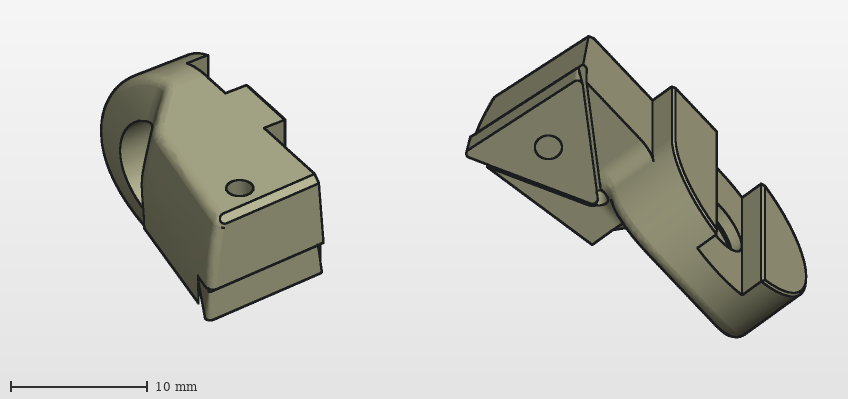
import cadquery as cq
import math


eye_radius = 7.7
eye_front = -4.57
bore_radius = 2.52
bore_chamfer = 0.3
head_pocket_radius = 4.5
head_pocket_depth = 3.35

key_height = 2.0
key_slot_width = 5.13
key_chamfer = 0.2

turning_radius = 18.15
turning_axis_y = eye_front + turning_radius
bend_x = -0.92
ramp_end_x = 3.36
ramp_angle = 40
arm_angle = 10
bend_radius = 1.94
ramp_end_radius = 3.15
rim_radius = 0.9
underside_radius = 1.45

end_x = 15.92
end_plan_angle = 3
end_lean_angle = 7
end_chamfer = 0.5
end_corner_radius = 0.6

insert_thickness = 2.37
insert_drop = 0.2
inscribed_radius = 3.17
nose_radius = 0.39
clearance_angle = 7
pocket_clearance = 0.3
relief_x = 7.3
relief_y = -5.45
relief_radius = 0.7
nose_tip_x = 16.5
nose_tip_y = -10.6
insert_bottom = -insert_drop
insert_top = insert_bottom + insert_thickness

nose_to_centre = 2 * (inscribed_radius - nose_radius)
nose_direction = math.radians(end_plan_angle - 60)
insert_x = nose_tip_x - nose_radius - nose_to_centre * math.cos(nose_direction)
insert_y = nose_tip_y + nose_radius - nose_to_centre * math.sin(nose_direction)

screw_radius = 1.0
screw_offset = 0.15
screw_chamfer = 0.25
screw_end_z = 4.85

reach = 48.4
tolerance = 0.002


def tan_deg(angle):
    return math.tan(math.radians(angle))


def polar(centre, radius, angle):
    a = math.radians(angle)
    return (centre[0] + radius * math.cos(a), centre[1] + radius * math.sin(a))


def box(x_span, y_span, z_span):
    """Box given by its (low, high) limits on each axis."""
    spans = (x_span, y_span, z_span)
    sizes = [high - low for low, high in spans]
    corner = [low for low, high in spans]
    return cq.Workplane("XY").box(*sizes, centered=False).translate(tuple(corner))


def turned(outline):
    """Solid of revolution about the turning axis, from an outline in the XY plane."""
    return outline.close().revolve(360, (0, turning_axis_y, 0), (1, turning_axis_y, 0))


def y_cylinder(radius, y_low, y_high):
    """Cylinder on the eye axis."""
    return cq.Workplane("XZ", origin=(0, y_high, 0)).circle(radius).extrude(y_high - y_low)


def eye_envelope():
    return turned(
        cq.Workplane("XY")
        .moveTo(-reach, turning_axis_y)
        .lineTo(-reach, eye_front)
        .lineTo(reach, eye_front)
        .lineTo(reach, turning_axis_y)
    )


def blend(corner, angle_in, angle_out, radius):
    """Start, middle and end of the arc rounding a corner between two falling lines."""
    x, y = corner
    turn = abs(angle_out - angle_in)
    setback = radius * tan_deg(turn / 2)
    bulge = radius / math.cos(math.radians(turn / 2)) - radius
    side = 1 if angle_in > angle_out else -1
    a_in, a_out = math.radians(angle_in), math.radians(angle_out)
    a_mid = (a_in + a_out) / 2
    start = (x - setback * math.cos(a_in), y + setback * math.sin(a_in))
    end = (x + setback * math.cos(a_out), y - setback * math.sin(a_out))
    middle = (x + side * bulge * math.sin(a_mid), y + side * bulge * math.cos(a_mid))
    return start, middle, end


def arm_envelope():
    bend = (bend_x, eye_front)
    ramp_end = (ramp_end_x, eye_front - (ramp_end_x - bend_x) * tan_deg(ramp_angle))
    tip_x = 2 * eye_radius + end_corner_radius + end_x
    tip_y = ramp_end[1] - (tip_x - ramp_end_x) * tan_deg(arm_angle)
    bend_start, bend_middle, bend_stop = blend(bend, 0, ramp_angle, bend_radius)
    ramp_start, ramp_middle, ramp_stop = blend(ramp_end, ramp_angle, arm_angle, ramp_end_radius)
    return turned(
        cq.Workplane("XY")
        .moveTo(-reach, turning_axis_y)
        .lineTo(-reach, eye_front)
        .lineTo(*bend_start)
        .threePointArc(bend_middle, bend_stop)
        .lineTo(*ramp_start)
        .threePointArc(ramp_middle, ramp_stop)
        .lineTo(tip_x, tip_y)
        .lineTo(tip_x, turning_axis_y)
    )


def cut_end(body):
    """Trim the arm with the leaning plane of its free end."""
    plane = cq.Plane(
        origin=(end_x, 0, 0),
        xDir=(0, 0, 1),
        normal=(1, tan_deg(end_plan_angle), tan_deg(end_lean_angle)),
    )
    return body.cut(cq.Workplane(plane).rect(reach, reach).extrude(reach))


def is_rim(edge):
    """True for an edge where the front surface meets the flat top or the round of the eye."""
    point = edge.positionAt(0.5)
    on_top = abs(point.z - eye_radius) < tolerance
    on_eye = abs(math.hypot(point.x, point.z) - eye_radius) < tolerance
    return edge.geomType() != "LINE" and point.y < -tolerance and (on_top or on_eye)


def is_underside_corner(edge):
    """True for an edge where the underside of the arm meets the eye."""
    limits = edge.BoundingBox()
    in_plane = abs(limits.zmin) < tolerance and abs(limits.zmax) < tolerance
    beside_eye = limits.xmin > head_pocket_radius - 0.25 and limits.xmax < eye_radius + tolerance
    return in_plane and beside_eye and limits.ymax < tolerance and limits.ymin > eye_front - tolerance


def arm_outline(right_x):
    """Quarter round of the eye running into the flat top of the arm."""
    diagonal = eye_radius * math.sqrt(0.5)
    return (
        cq.Workplane("XZ")
        .moveTo(-eye_radius, 0)
        .threePointArc((-diagonal, diagonal), (0, eye_radius))
        .lineTo(right_x, eye_radius)
        .lineTo(right_x, 0)
        .close()
    )


def arm_half():
    """Everything above the eye centre: half of the eye, and the arm with its rounded front rim."""
    body = arm_outline(reach / 2).extrude(reach / 2)
    body = cut_end(body.intersect(arm_envelope()))
    end_top = cq.selectors.BoxSelector((end_x - 2.42, -2.42, eye_radius - 0.25), (end_x, -7.25, eye_radius + 0.25))
    body = body.edges(end_top).chamfer(end_chamfer)
    body = body.edges().filter(is_rim).fillet(rim_radius)
    corner = cq.selectors.BoxSelector((end_x - 1.2, -10.9, 1.2), (end_x + 1.2, -8.47, eye_radius - 1.94))
    return body.edges(corner).fillet(end_corner_radius)


def eye_half():
    """The half of the eye below its centre."""
    body = y_cylinder(eye_radius, -reach / 2, 0).intersect(eye_envelope())
    body = body.edges().filter(is_rim).fillet(rim_radius)
    return body.intersect(box((-reach, reach), (-reach, 0), (-reach, 0)))


def keys():
    """Two keys on the locating face, parted by a slot through the eye centre."""
    body = y_cylinder(eye_radius, 0, key_height)
    body = body.union(box((0, eye_radius), (0, key_height), (0, eye_radius)))
    half_slot = key_slot_width / 2
    body = body.cut(box((-half_slot, half_slot), (0, key_height), (-reach, reach)))
    return body.faces(">Y").chamfer(key_chamfer)


def insert_outline(margin):
    """Triangle with rounded corners on the plane of the cutting edges, widened by a margin."""
    corner_radius = nose_radius + margin
    wire = cq.Workplane("XY", origin=(0, 0, insert_bottom))
    for number in range(3):
        direction = end_plan_angle - 60 + 120 * number
        centre = polar((insert_x, insert_y), nose_to_centre, direction)
        start = polar(centre, corner_radius, direction - 60)
        middle = polar(centre, corner_radius, direction)
        end = polar(centre, corner_radius, direction + 60)
        wire = wire.moveTo(*start) if number == 0 else wire.lineTo(*start)
        wire = wire.threePointArc(middle, end)
    return wire.close()


def corner_relief():
    """Drilled hole that frees the insert corner next to the eye."""
    hole = cq.Workplane("XY", origin=(relief_x, relief_y, -underside_radius)).circle(relief_radius)
    return hole.extrude(insert_top + underside_radius)


def screw_shank(end_z):
    centre = (insert_x - screw_offset, insert_y, insert_bottom)
    return cq.Workplane("XY", origin=centre).circle(screw_radius).extrude(end_z - insert_bottom)


def make_housing():
    body = arm_half().union(eye_half())
    pocket_floor = eye_front + head_pocket_depth
    body = body.cut(y_cylinder(head_pocket_radius, -reach / 2, pocket_floor))
    body = body.edges().filter(is_underside_corner).fillet(underside_radius)
    body = body.union(keys())
    body = body.cut(y_cylinder(bore_radius, -reach, reach))
    countersink = cq.Solid.makeCone(
        bore_radius + bore_chamfer, bore_radius, bore_chamfer, pnt=(0, pocket_floor, 0), dir=(0, 1, 0)
    )
    body = body.cut(cq.Workplane(obj=countersink))
    body = body.cut(insert_outline(pocket_clearance).extrude(insert_thickness))
    body = body.cut(corner_relief())
    return body.cut(screw_shank(reach))


def make_insert():
    body = insert_outline(0).extrude(insert_thickness, taper=clearance_angle)
    return body.cut(screw_shank(reach))


def make_screw():
    return screw_shank(screw_end_z).faces(">Z").chamfer(screw_chamfer)


housing = make_housing()
insert = make_insert()
screw = make_screw()
result = cq.Compound.makeCompound([housing.val(), insert.val(), screw.val()])